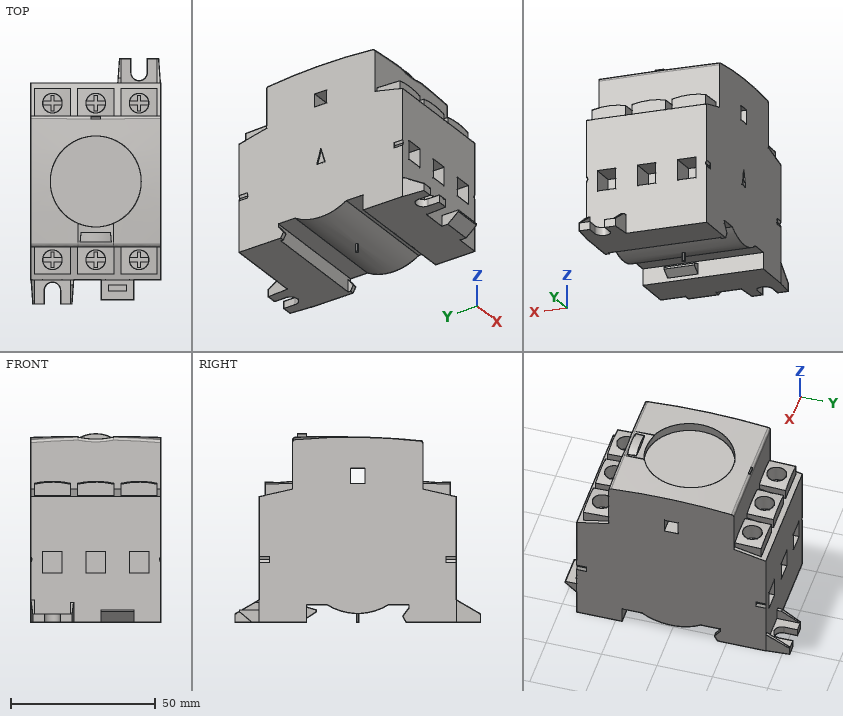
import cadquery as cq
import math

WIDTH = 45.0
BASE_HALF_LENGTH = 34.1
TOWER_HALF_LENGTH = 22.6
SHOULDER_OUTER_Z = 43.5
SHOULDER_INNER_Z = 46.1
TOWER_EDGE_RADIUS = 1.0
CROWN_OVERHANG = 1.0
CROWN_HALF_WIDTH = WIDTH / 2 + CROWN_OVERHANG
CROWN_END_Y = TOWER_HALF_LENGTH + CROWN_OVERHANG
CROWN_SECTIONS = [
    (-CROWN_END_Y, 62.9, 64.05),
    (0.0, 64.0, 64.3),
    (CROWN_END_Y, 62.45, 62.65),
]

RAIL_HALF_WIDTH = 17.7
RAIL_DEPTH = 6.05
BELLY_HALF_WIDTH = 10.65
BELLY_BOTTOM_Z = 3.0
HOOK_ROOT_Z = 5.0
HOOK_TIP_Y = 15.55
HOOK_TIP_Z = 2.1
HOOK_FOOT_Y = 16.7
HOOK_LENGTH = 1.6
PIN_SIDES = 6
PIN_ACROSS_CORNERS = 1.15

DIAL_DIAMETER = 31.5
DIAL_FLOOR_Z = 60.9
WINDOW_WIDTH = 5.0
WINDOW_BOTTOM_Z = 48.1
WINDOW_TOP_Z = 53.3
SCOOP_HALF_WIDTH = 6.2
SCOOP_EDGE_Z = 64.1
SCOOP_BOTTOM_Z = 63.4
SCOOP_INNER_Y = -10.0
BUTTON_TOP_Z = 65.3
BUTTON_EDGE_Z = 64.0
BUTTON_BASE_Z = 62.5
BUTTON_FRONT_HALF_WIDTH = 5.4
BUTTON_BACK_HALF_WIDTH = 5.1
BUTTON_FRONT_Y = -20.9
BUTTON_BACK_Y = -17.7
NUB_WIDTH = 3.2
NUB_INNER_Y = 21.7
NUB_OUTER_Y = 22.3
NUB_TOP_Z = 63.0

POLE_PITCH = 15.0
POLE_CENTRES = [-POLE_PITCH, 0.0, POLE_PITCH]
BLOCK_WIDTH = 12.5
BLOCK_OUTER_Y = 32.1
BLOCK_OUTER_EDGE_Z = 47.8
BLOCK_INNER_EDGE_Z = 48.1
BLOCK_CROWN = 0.7
SCREW_Y = 27.1
SCREW_DIAMETER = 6.8
SCREW_HEAD_Z = 42.5
CROSS_DEPTH = 1.0
CROSS_NARROW_WIDTH = 1.1
CROSS_NARROW_LENGTH = 5.3
CROSS_WIDE_WIDTH = 1.4
CROSS_WIDE_LENGTH = 6.6
WIRE_HOLE_WIDTH = 6.8
WIRE_HOLE_BOTTOM_Z = 17.0
WIRE_HOLE_TOP_Z = 24.5
WIRE_HOLE_DEPTH = 10.0

NOTCH_LENGTH = 3.5
NOTCH_BOTTOM_Z = 20.7
NOTCH_MIDDLE_Z = 21.8
NOTCH_TOP_Z = 22.8
NOTCH_DEPTH = 0.5
ARROW_HALF_WIDTH = 1.65
ARROW_BOTTOM_Z = 24.7
ARROW_TOP_Z = 30.5
ARROW_DEPTH = 0.5

LUG_TIP_Y = -42.5
LUG_CENTRE_X = -POLE_PITCH
LUG_ROOT_HALF_WIDTH = 7.4
LUG_TIP_HALF_WIDTH = 6.8
LUG_INNER_HALF_WIDTH = 6.2
LUG_FLOOR_Z = 2.9
LUG_RIB_ROOT_Z = 7.8
INNER_RIB_TOP_Z = 6.8
LUG_SLOT_WIDTH = 5.6
LUG_SLOT_CENTRE_Y = -37.7

SLIDER_X_MIN = 1.9
SLIDER_WIDTH = 11.3
SLIDER_TIP_Y = -41.0
SLIDER_HEEL_Y = -36.6
SLIDER_TOP_Z = 4.3
SLIDER_LIP_THICKNESS = 0.6
SLIDER_SLOT_LENGTH = 6.2
SLIDER_SLOT_WIDTH = 2.1
SLIDER_SLOT_Y = -36.85
SLIDER_SLOT_DEPTH = 1.5
LATCH_TIP_Y = -14.3
LATCH_NOSE_Z = 3.6
LATCH_TOP_Z = 5.3
LATCH_BOTTOM_Z = 1.4

OVERLAP = 1.0


def box(x_range, y_range, z_range):
    """Axis-aligned box between the given limits."""
    sizes = [high - low for low, high in (x_range, y_range, z_range)]
    corner = (x_range[0], y_range[0], z_range[0])
    return cq.Workplane("XY").box(*sizes, centered=False).translate(corner)


def half_turn(shape):
    """Copy of the shape on the opposite end of the housing."""
    return shape.rotate((0, 0, 0), (0, 0, 1), 180)


def lower_housing():
    """Base with sloped shoulders, rail channel, full-width hook and rounded belly."""
    return (
        cq.Workplane("YZ", origin=(-WIDTH / 2, 0, 0))
        .moveTo(-BASE_HALF_LENGTH, 0)
        .lineTo(-RAIL_HALF_WIDTH, 0)
        .lineTo(-RAIL_HALF_WIDTH, RAIL_DEPTH)
        .lineTo(-BELLY_HALF_WIDTH, RAIL_DEPTH)
        .threePointArc((0, BELLY_BOTTOM_Z), (BELLY_HALF_WIDTH, RAIL_DEPTH))
        .lineTo(RAIL_HALF_WIDTH, RAIL_DEPTH)
        .lineTo(RAIL_HALF_WIDTH, HOOK_ROOT_Z)
        .lineTo(HOOK_TIP_Y, HOOK_TIP_Z)
        .lineTo(HOOK_FOOT_Y, 0)
        .lineTo(BASE_HALF_LENGTH, 0)
        .lineTo(BASE_HALF_LENGTH, SHOULDER_OUTER_Z)
        .lineTo(TOWER_HALF_LENGTH, SHOULDER_INNER_Z)
        .lineTo(-TOWER_HALF_LENGTH, SHOULDER_INNER_Z)
        .lineTo(-BASE_HALF_LENGTH, SHOULDER_OUTER_Z)
        .close()
        .extrude(WIDTH)
    )


def hook_gap():
    """Space between the two rail hooks, which sit at the side walls only."""
    half = WIDTH / 2 - HOOK_LENGTH
    return box((-half, half), (HOOK_TIP_Y, RAIL_HALF_WIDTH), (0, HOOK_ROOT_Z))


def crown_wire(y, side_z, middle_z):
    """Arched cross-section under the crowned surface at one position along Y."""
    return (
        cq.Workplane("XZ", origin=(0, y, 0))
        .moveTo(-CROWN_HALF_WIDTH, 0)
        .lineTo(CROWN_HALF_WIDTH, 0)
        .lineTo(CROWN_HALF_WIDTH, side_z)
        .threePointArc((0, middle_z), (-CROWN_HALF_WIDTH, side_z))
        .close()
        .val()
    )


def scoop():
    """Shallow finger hollow running from the dial to the front of the tower."""
    return (
        cq.Workplane("XZ", origin=(0, SCOOP_INNER_Y, 0))
        .moveTo(-SCOOP_HALF_WIDTH, SCOOP_EDGE_Z)
        .threePointArc((0, SCOOP_BOTTOM_Z), (SCOOP_HALF_WIDTH, SCOOP_EDGE_Z))
        .lineTo(SCOOP_HALF_WIDTH, SCOOP_EDGE_Z + OVERLAP)
        .lineTo(-SCOOP_HALF_WIDTH, SCOOP_EDGE_Z + OVERLAP)
        .close()
        .extrude(TOWER_HALF_LENGTH + SCOOP_INNER_Y + OVERLAP)
    )


def tower():
    """Crowned tower with a finger hollow and rounded front and rear edges."""
    wires = [crown_wire(*section) for section in CROWN_SECTIONS]
    crown = cq.Workplane(cq.Solid.makeLoft(wires, False))
    walls = box(
        (-WIDTH / 2, WIDTH / 2),
        (-TOWER_HALF_LENGTH, TOWER_HALF_LENGTH),
        (SHOULDER_INNER_Z, BUTTON_TOP_Z),
    )
    solid = walls.intersect(crown).cut(scoop())
    for face in ("<Y", ">Y"):
        top_edges = solid.faces(face).edges().filter(lambda edge: edge.Center().z > DIAL_FLOOR_Z)
        solid = top_edges.fillet(TOWER_EDGE_RADIUS)
    return solid


def button():
    """Domed push button with slightly tapered flanks."""
    dome = (
        cq.Workplane("XZ", origin=(0, BUTTON_BACK_Y, 0))
        .moveTo(-BUTTON_FRONT_HALF_WIDTH, BUTTON_BASE_Z)
        .lineTo(BUTTON_FRONT_HALF_WIDTH, BUTTON_BASE_Z)
        .lineTo(BUTTON_FRONT_HALF_WIDTH, BUTTON_EDGE_Z)
        .threePointArc((0, BUTTON_TOP_Z), (-BUTTON_FRONT_HALF_WIDTH, BUTTON_EDGE_Z))
        .close()
        .extrude(BUTTON_BACK_Y - BUTTON_FRONT_Y)
    )
    plan = (
        cq.Workplane("XY")
        .moveTo(-BUTTON_FRONT_HALF_WIDTH, BUTTON_FRONT_Y)
        .lineTo(BUTTON_FRONT_HALF_WIDTH, BUTTON_FRONT_Y)
        .lineTo(BUTTON_BACK_HALF_WIDTH, BUTTON_BACK_Y)
        .lineTo(-BUTTON_BACK_HALF_WIDTH, BUTTON_BACK_Y)
        .close()
        .extrude(BUTTON_TOP_Z)
    )
    return dome.intersect(plan)


def rear_nub():
    """Small raised nub on the rear edge of the tower top."""
    half = NUB_WIDTH / 2
    return box((-half, half), (NUB_INNER_Y, NUB_OUTER_Y), (NUB_TOP_Z - 2 * OVERLAP, NUB_TOP_Z))


def terminal_block(x):
    """Front terminal block, its arched top falling slightly outwards."""
    half = BLOCK_WIDTH / 2
    length = BLOCK_OUTER_Y - TOWER_HALF_LENGTH
    fall = math.degrees(math.atan2(BLOCK_INNER_EDGE_Z - BLOCK_OUTER_EDGE_Z, length))
    inner_edge = (x, -TOWER_HALF_LENGTH, BLOCK_INNER_EDGE_Z)
    arch = (
        cq.Workplane("XZ", origin=inner_edge)
        .moveTo(-half, -2 * length)
        .lineTo(half, -2 * length)
        .lineTo(half, 0)
        .threePointArc((0, BLOCK_CROWN), (-half, 0))
        .close()
        .extrude(length + OVERLAP, both=True)
        .rotate(inner_edge, (x + half, *inner_edge[1:]), fall)
    )
    walls = box(
        (x - half, x + half),
        (-BLOCK_OUTER_Y, -TOWER_HALF_LENGTH),
        (SHOULDER_OUTER_Z - OVERLAP, BLOCK_INNER_EDGE_Z + BLOCK_CROWN),
    )
    return walls.intersect(arch)


def screw_well(x):
    """Well above a front terminal screw, with the cross recess in its head."""
    well_top_z = BLOCK_INNER_EDGE_Z + BLOCK_CROWN + OVERLAP
    head = cq.Workplane("XY", origin=(x, -SCREW_Y, SCREW_HEAD_Z))
    well = head.circle(SCREW_DIAMETER / 2).extrude(well_top_z - SCREW_HEAD_Z)
    wide = head.rect(CROSS_WIDE_LENGTH, CROSS_WIDE_WIDTH).extrude(-CROSS_DEPTH)
    narrow = head.rect(CROSS_NARROW_WIDTH, CROSS_NARROW_LENGTH).extrude(-CROSS_DEPTH)
    return well.union(wide).union(narrow)


def wire_hole(x):
    """Square wire entry in the front wall."""
    half = WIRE_HOLE_WIDTH / 2
    return box(
        (x - half, x + half),
        (-BASE_HALF_LENGTH, -BASE_HALF_LENGTH + WIRE_HOLE_DEPTH),
        (WIRE_HOLE_BOTTOM_Z, WIRE_HOLE_TOP_Z),
    )


def side_notch(side):
    """V-groove at the front end of one side wall (side is -1 or +1)."""
    wall_x = side * WIDTH / 2
    return (
        cq.Workplane("XZ", origin=(0, -BASE_HALF_LENGTH + NOTCH_LENGTH, 0))
        .moveTo(wall_x, NOTCH_BOTTOM_Z)
        .lineTo(wall_x, NOTCH_TOP_Z)
        .lineTo(wall_x - side * NOTCH_DEPTH, NOTCH_MIDDLE_Z)
        .close()
        .extrude(NOTCH_LENGTH)
    )


def side_arrow():
    """Engraved arrowhead on the -X wall."""
    return (
        cq.Workplane("YZ", origin=(-WIDTH / 2, 0, 0))
        .moveTo(-ARROW_HALF_WIDTH, ARROW_BOTTOM_Z)
        .lineTo(ARROW_HALF_WIDTH, ARROW_BOTTOM_Z)
        .lineTo(0, ARROW_TOP_Z)
        .close()
        .extrude(ARROW_DEPTH)
    )


def mounting_lug():
    """Front lug: slotted foot between two sloping ribs, narrowing towards its tip."""
    x = LUG_CENTRE_X
    root_y = -BASE_HALF_LENGTH
    lug = (
        cq.Workplane("YZ", origin=(x - LUG_ROOT_HALF_WIDTH, 0, 0))
        .moveTo(root_y, 0)
        .lineTo(LUG_TIP_Y, 0)
        .lineTo(LUG_TIP_Y, LUG_FLOOR_Z)
        .lineTo(root_y, LUG_RIB_ROOT_Z)
        .close()
        .extrude(2 * LUG_ROOT_HALF_WIDTH)
    )
    plan = (
        cq.Workplane("XY", origin=(x, 0, 0))
        .moveTo(-LUG_ROOT_HALF_WIDTH, root_y)
        .lineTo(-LUG_TIP_HALF_WIDTH, LUG_TIP_Y)
        .lineTo(LUG_TIP_HALF_WIDTH, LUG_TIP_Y)
        .lineTo(LUG_ROOT_HALF_WIDTH, root_y)
        .close()
        .extrude(LUG_RIB_ROOT_Z)
    )
    between_ribs = box(
        (x - LUG_INNER_HALF_WIDTH, x + LUG_INNER_HALF_WIDTH),
        (LUG_TIP_Y, root_y),
        (LUG_FLOOR_Z, LUG_RIB_ROOT_Z),
    )
    above_inner_rib = box(
        (x + LUG_INNER_HALF_WIDTH, x + LUG_ROOT_HALF_WIDTH),
        (LUG_TIP_Y, root_y),
        (INNER_RIB_TOP_Z, LUG_RIB_ROOT_Z),
    )
    half_slot = LUG_SLOT_WIDTH / 2
    slot_end = (
        cq.Workplane("XY", origin=(x, LUG_SLOT_CENTRE_Y, 0))
        .circle(half_slot)
        .extrude(LUG_FLOOR_Z)
    )
    slot_mouth = box((x - half_slot, x + half_slot), (LUG_TIP_Y, LUG_SLOT_CENTRE_Y), (0, LUG_FLOOR_Z))
    return lug.intersect(plan).cut(between_ribs).cut(above_inner_rib).cut(slot_end).cut(slot_mouth)


def slider_pull():
    """Front pull tab of the rail slider with its screwdriver slot."""
    tab = (
        cq.Workplane("YZ", origin=(SLIDER_X_MIN, 0, 0))
        .moveTo(-BASE_HALF_LENGTH, 0)
        .lineTo(SLIDER_HEEL_Y, 0)
        .lineTo(SLIDER_TIP_Y, SLIDER_TOP_Z - SLIDER_LIP_THICKNESS)
        .lineTo(SLIDER_TIP_Y, SLIDER_TOP_Z)
        .lineTo(-BASE_HALF_LENGTH, SLIDER_TOP_Z)
        .close()
        .extrude(SLIDER_WIDTH)
    )
    slot = (
        cq.Workplane("XY", origin=(SLIDER_X_MIN + SLIDER_WIDTH / 2, SLIDER_SLOT_Y, SLIDER_TOP_Z))
        .rect(SLIDER_SLOT_LENGTH, SLIDER_SLOT_WIDTH)
        .extrude(-SLIDER_SLOT_DEPTH)
    )
    return tab.cut(slot)


def slider_latch():
    """Nose of the rail slider reaching into the channel."""
    return (
        cq.Workplane("YZ", origin=(SLIDER_X_MIN, 0, 0))
        .moveTo(-RAIL_HALF_WIDTH, LATCH_BOTTOM_Z)
        .lineTo(LATCH_TIP_Y, LATCH_NOSE_Z)
        .lineTo(LATCH_TIP_Y, SLIDER_TOP_Z)
        .lineTo(-RAIL_HALF_WIDTH, LATCH_TOP_Z)
        .close()
        .extrude(SLIDER_WIDTH)
    )


def centre_pin():
    """Thin hexagonal pin under the middle of the belly, ending level with the feet."""
    return cq.Workplane("XY").polygon(PIN_SIDES, PIN_ACROSS_CORNERS).extrude(RAIL_DEPTH)


def dial_recess():
    """Round flat-floored recess in the tower top."""
    dial = cq.Workplane("XY", origin=(0, 0, DIAL_FLOOR_Z)).circle(DIAL_DIAMETER / 2)
    return dial.extrude(BUTTON_TOP_Z - DIAL_FLOOR_Z)


def side_window():
    """Rectangular window passing through the tower along X."""
    half = WINDOW_WIDTH / 2
    return box((-WIDTH / 2, WIDTH / 2), (-half, half), (WINDOW_BOTTOM_Z, WINDOW_TOP_Z))


def add_both_ends(body, feature):
    """Add a front feature and its half-turn copy."""
    return body.union(feature).union(half_turn(feature))


def cut_both_ends(body, feature):
    """Cut a front feature and its half-turn copy."""
    return body.cut(feature).cut(half_turn(feature))


result = lower_housing().cut(hook_gap()).union(tower())
result = result.cut(dial_recess()).cut(side_window()).cut(side_arrow())
result = result.union(button()).union(rear_nub())
for pole_x in POLE_CENTRES:
    result = add_both_ends(result, terminal_block(pole_x))
    result = cut_both_ends(result, screw_well(pole_x))
    result = cut_both_ends(result, wire_hole(pole_x))
for wall_side in (-1, 1):
    result = cut_both_ends(result, side_notch(wall_side))
result = add_both_ends(result, mounting_lug())
result = result.union(slider_pull()).union(slider_latch()).union(centre_pin())